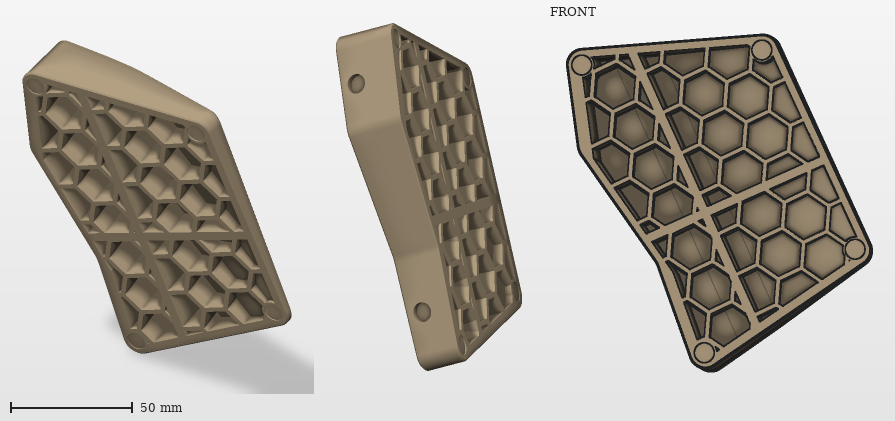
import cadquery as cq
import math


CORNER_RADIUS = 6.7
BEND_RADIUS = 8.2
OUTLINE = [
    ((49.9, 53.8), CORNER_RADIUS),
    ((50.7, -47.0), CORNER_RADIUS),
    ((-36.3, -62.8), CORNER_RADIUS),
    ((-32.2, -13.2), BEND_RADIUS),
    ((-42.4, 42.2), BEND_RADIUS),
    ((-30.4, 82.5), CORNER_RADIUS),
]
SIDE_WALLS = [3.9, 4.5, 5.3, 3.6, 6.0, 3.9]

FACE_HEIGHT = 12.9
FACE_SLOPE_X = -0.098
FACE_SLOPE_Y = 0.055
FACE_CHAMFER = 0.5

BACK_LEVEL = -6.2
BACK_BEND_X = 3.3
RAMP_ANGLE = 9.9
BACK_RADIUS = 110.2
BACK_CHAMFER = 0.8
FLOOR_LEVEL = -4.2
FLOOR_BEND_X = -6.5

RIB_WIDTH = 4.0
LONG_RIB_X = -5.5
CROSS_RIB_Y = -2.2

CELL_PITCH = 18.3
CELL_WALL = 2.1
CELL_TWIST = 1.5
CELL_CENTRE = (14.5, 24.7)
CELL_RINGS = 6

RECESS_DIAMETER = 8.2
FOOT_DEPTH = 0.5
FOOT_CENTRES = [(43.1, 49.4), (44.2, -41.0), (-29.4, -54.6), (-26.5, 73.9)]
FOOT_BOSS_RADIUS = 5.1
SIDE_RECESS_DEPTH = 3.2
SIDE_RECESS_HEIGHT = 1.4
SIDE_RECESS_PLACES = [(2, 25.7), (4, 19.1)]

SPIN = 24.7
TILT = 85.8
YAW = -7.8

REACH = 208.0
EDGE_BOX = 1.4

HEXAGON_RATIO = math.cos(math.radians(30))


def shift_inwards(start, end, distance):
    """Move a side of the clockwise outline towards its inside."""
    dx, dy = end[0] - start[0], end[1] - start[1]
    length = math.hypot(dx, dy)
    ox, oy = dy / length * distance, -dx / length * distance
    return (start[0] + ox, start[1] + oy), (end[0] + ox, end[1] + oy)


def meet(line_a, line_b):
    """Point where two lines, each given by two points, cross."""
    (ax, ay), (bx, by) = line_a
    (cx, cy), (dx, dy) = line_b
    ux, uy = bx - ax, by - ay
    vx, vy = dx - cx, dy - cy
    t = ((cx - ax) * vy - (cy - ay) * vx) / (ux * vy - uy * vx)
    return ax + t * ux, ay + t * uy


def prism(points):
    """Upright block on a closed outline, reaching past the part above and below."""
    return cq.Workplane("XY").polyline(points).close().extrude(REACH, both=True)


def outer_prism():
    """Outline block with its corners rounded."""
    block = prism([corner for corner, _ in OUTLINE])
    for (x, y), radius in OUTLINE:
        near = cq.selectors.BoxSelector(
            (x - EDGE_BOX, y - EDGE_BOX, -EDGE_BOX),
            (x + EDGE_BOX, y + EDGE_BOX, EDGE_BOX),
        )
        block = block.edges("|Z").edges(near).fillet(radius)
    return block


def inner_prism():
    """Block inside the outline walls, with sharp corners."""
    corners = [corner for corner, _ in OUTLINE]
    sides = []
    for i, wall in enumerate(SIDE_WALLS):
        sides.append(shift_inwards(corners[i], corners[(i + 1) % len(corners)], wall))
    return prism([meet(sides[i - 1], sides[i]) for i in range(len(sides))])


def space_above(level, bend_x):
    """Everything above a flat that turns into the ramp through a large tangent arc."""
    angle = math.radians(RAMP_ANGLE)
    tangent = BACK_RADIUS * math.tan(angle / 2)
    arc_middle = (
        bend_x - tangent + BACK_RADIUS * math.sin(angle / 2),
        level + BACK_RADIUS * (1 - math.cos(angle / 2)),
    )
    arc_end = (bend_x + tangent * math.cos(angle), level + tangent * math.sin(angle))
    return (
        cq.Workplane("XZ", origin=(0, REACH / 2, 0))
        .moveTo(-REACH, level)
        .lineTo(bend_x - tangent, level)
        .threePointArc(arc_middle, arc_end)
        .lineTo(REACH, level + math.tan(angle) * (REACH - bend_x))
        .lineTo(REACH, REACH)
        .lineTo(-REACH, REACH)
        .close()
        .extrude(REACH)
    )


def face_plane(x, y):
    """Plane on the honeycomb side with its origin above the point (x, y)."""
    height = FACE_HEIGHT + FACE_SLOPE_X * x + FACE_SLOPE_Y * y
    return cq.Plane(
        origin=(x, y, height),
        xDir=(1, 0, FACE_SLOPE_X),
        normal=(-FACE_SLOPE_X, -FACE_SLOPE_Y, 1),
    )


def wedge():
    """Solid outer shape with both rims chamfered."""
    above_face = cq.Workplane(face_plane(0, 0)).rect(2 * REACH, 2 * REACH).extrude(REACH)
    body = outer_prism().intersect(space_above(BACK_LEVEL, BACK_BEND_X)).cut(above_face)
    body = body.faces("<Z").edges("not |Y").chamfer(BACK_CHAMFER)
    return body.faces(">Z").edges().chamfer(FACE_CHAMFER)


def cavity():
    """Room inside the walls, less the two ribs and the bosses behind the feet."""
    room = inner_prism().intersect(space_above(FLOOR_LEVEL, FLOOR_BEND_X))
    long_rib = cq.Workplane().center(LONG_RIB_X, 0).box(RIB_WIDTH, REACH, REACH)
    cross_rib = cq.Workplane(face_plane(0, CROSS_RIB_Y)).box(REACH, RIB_WIDTH, REACH)
    bosses = cq.Workplane().pushPoints(FOOT_CENTRES).circle(FOOT_BOSS_RADIUS).extrude(REACH, both=True)
    return room.cut(long_rib).cut(cross_rib).cut(bosses)


def cell_prisms():
    """Hexagons in a triangular grid, square to the honeycomb side."""
    places = []
    for column in range(-CELL_RINGS, CELL_RINGS + 1):
        for row in range(-CELL_RINGS, CELL_RINGS + 1):
            if abs(column + row) <= CELL_RINGS:
                x = column * CELL_PITCH * HEXAGON_RATIO
                places.append((x, (row + column / 2) * CELL_PITCH))
    diameter = (CELL_PITCH - CELL_WALL) / HEXAGON_RATIO
    plane = face_plane(*CELL_CENTRE).rotated((0, 0, CELL_TWIST))
    return cq.Workplane(plane).pushPoints(places).polygon(6, diameter).extrude(REACH, both=True)


def foot_recesses():
    """Cutters for shallow round recesses in the corners of the honeycomb side."""
    cutters = cq.Workplane()
    for centre in FOOT_CENTRES:
        disc = cq.Workplane(face_plane(*centre)).circle(RECESS_DIAMETER / 2).extrude(-FOOT_DEPTH)
        cutters = cutters.add(disc)
    return cutters.combine()


def side_recess(side, distance):
    """Cutter for a blind hole in an outline side, placed along it from its first corner."""
    start, end = OUTLINE[side][0], OUTLINE[side + 1][0]
    along = (end[0] - start[0], end[1] - start[1])
    share = distance / math.hypot(*along)
    plane = cq.Plane(
        origin=(start[0] + share * along[0], start[1] + share * along[1], SIDE_RECESS_HEIGHT),
        xDir=(0, 0, 1),
        normal=(along[1], -along[0], 0),
    )
    return cq.Workplane(plane).circle(RECESS_DIAMETER / 2).extrude(SIDE_RECESS_DEPTH)


part = wedge().cut(cell_prisms().intersect(cavity())).cut(foot_recesses())
for side, distance in SIDE_RECESS_PLACES:
    part = part.cut(side_recess(side, distance))

result = (
    part.rotate((0, 0, 0), (0, 0, 1), SPIN)
    .rotate((0, 0, 0), (1, 0, 0), TILT)
    .rotate((0, 0, 0), (0, 0, 1), YAW)
)